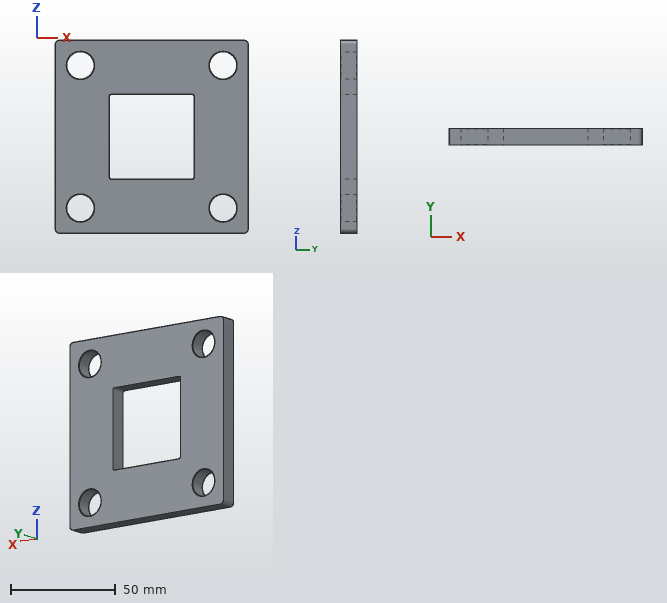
import cadquery as cq

plate_side = 92.0
plate_thickness = 8.0
plate_corner_radius = 2.0

window_side = 40.4
window_corner_radius = 1.0

hole_spacing = 68.0
hole_diameter = 13.0
hole_chamfer = 0.3


def rounded_square_block(side, corner_radius):
    """Square block as deep as the plate, its edges along Y rounded."""
    return cq.Workplane("XY").box(side, plate_thickness, side).edges("|Y").fillet(corner_radius)


def drill_bolt_holes(body):
    """Drill the four through holes along Y and chamfer their rims."""
    drilled = (
        body.faces("<Y")
        .workplane(centerOption="CenterOfBoundBox")
        .rect(hole_spacing, hole_spacing, forConstruction=True)
        .vertices()
        .hole(hole_diameter)
    )
    largest_radius = cq.selectors.RadiusNthSelector(-1)
    return drilled.faces("<Y or >Y").edges("%CIRCLE").edges(largest_radius).chamfer(hole_chamfer)


plate = rounded_square_block(plate_side, plate_corner_radius)
window = rounded_square_block(window_side, window_corner_radius)

result = drill_bolt_holes(plate.cut(window))